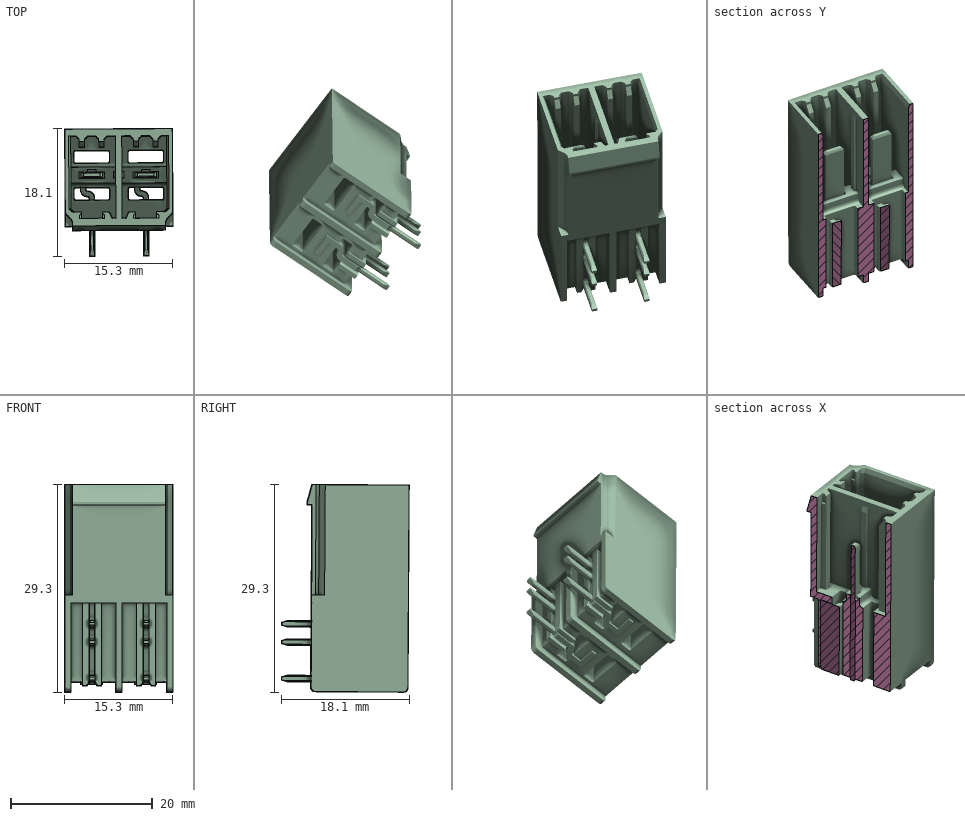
import cadquery as cq
import math


WIDTH = 15.22
DEPTH = 13.67
HEIGHT = 29.25
HALF_WIDTH = WIDTH / 2
FOOT_RADIUS = 0.65

TILT_X = -0.35
TILT_Z = 0.35

POLES = (-3.8, 3.8)
SIDE_WALL = 0.85
CENTRE_WALL_HALF = 0.45
BACK_WALL = 1.0
INNER_HALF_WIDTH = HALF_WIDTH - SIDE_WALL
CAVITY_BACK = DEPTH - BACK_WALL

FLOOR_Z = 13.67
GROOVE_FRONT = 1.05
LEDGE_Y = 1.95
GROOVE_HALF = 1.47
FLARE_HALF = 1.8
FLARE_DEPTH = 1.47
FLARE_START_Y = 1.75
FLARE_END_Y = 1.45
HOOK_FOOT = 0.95
HOOK_TOP = 1.35
CORNER_CHAMFER = 0.45
MOUTH_CHAMFER = 0.3
MOUTH_CHAMFER_HEIGHT = 0.67

TOOTH_OFFSET = 1.38
TOOTH_HALF = 0.367
TOOTH_ROOT_HALF = 0.82
TOOTH_ROOT_FLARE = TOOTH_ROOT_HALF - TOOTH_HALF
TOOTH_SHORT = 0.75
TOOTH_LONG = 1.53
TOOTH_RAMP_TOP = HEIGHT - 0.4
TOOTH_RAMP_BOTTOM = HEIGHT - 1.5

GUIDE_REACH = 0.3
GUIDE_RAMP_TOP = HEIGHT - 0.88
GUIDE_RAMP_BOTTOM = HEIGHT - 1.73

WINDOW_WIDTH = 5.0
WINDOW_DEPTH = 1.8
WINDOW_FRONT = 3.72
WINDOW_RADIUS = 0.23
BAR_FRONT = WINDOW_FRONT + WINDOW_DEPTH
BAR_BACK = 8.95
BAR_HEIGHT = 1.47
BAR_ROOT_RADIUS = 0.6

RECESS_WIDTH = 3.65
RECESS_DEPTH = 0.88
RECESS_HEIGHT = 0.6
KEY_WIDTH = 1.17
KEY_DEPTH = 0.35

LIP_HALF = 6.57
NOTCH_Y = 1.82
NOTCH_STEP = 0.2
NOTCH_STEP_Y = 0.53
LIP_REACH = 0.67
LIP_RAMP_Z = HEIGHT - 2.55
LIP_BOTTOM_Z = HEIGHT - 2.87

POCKET_TOP = 12.5
POCKET_DEPTH = 1.35
CORE_BOTTOM = 1.4
RIB_FRONT = 0.67
RIB_WIDTH = 0.95
RIB_GAP = 0.82
RIB_BOTTOM = 0.85
RIB_CHAMFER = 0.3
RIB_CHAMFER_HEIGHT = 0.65

SHEET = 0.75
SHEET_FRONT = POCKET_DEPTH
SHEET_BOTTOM = 1.05
SHEET_TOP = POCKET_TOP
BEND_RADIUS = 0.62
BEND_FRONT = 4.02
BLADE_Y = 7.22
BLADE_HALF = 1.5
BLADE_TOP = 23.45
BLADE_TAPER = 0.35
BLADE_EDGE_TAPER = 0.15
PIN_LEVELS = (1.85, 6.98, 9.55)
PIN_HEIGHT = 0.95
PIN_REACH = 4.15
PIN_CHAMFER = 0.18
PIN_TIP_LENGTH = 0.88
PIN_TIP_HEIGHT = 0.4
PIN_ROOT_RADIUS = 0.53


def block(x0, x1, y0, y1, z0, z1):
    """Box given by its limits along each axis."""
    return cq.Workplane("XY").box(x1 - x0, y1 - y0, z1 - z0, centered=False).translate((x0, y0, z0))


def prism(points, z0, z1):
    """Upright prism on an XY outline."""
    return cq.Workplane("XY").workplane(offset=z0).polyline(points).close().extrude(z1 - z0)


def side_profile(points, x0, x1):
    """Prism along X on a YZ outline."""
    return cq.Workplane("YZ").workplane(offset=x0).polyline(points).close().extrude(x1 - x0)


def mirrored(body):
    """The given body together with its image across the mid-plane."""
    return body.union(body.mirror("YZ"))


def shell():
    body = block(-HALF_WIDTH, HALF_WIDTH, 0, DEPTH, 0, HEIGHT)
    return body.edges("|X and <Z").fillet(FOOT_RADIUS)


def snap_lip():
    profile = [(0, HEIGHT), (-LIP_REACH, LIP_RAMP_Z), (-LIP_REACH, LIP_BOTTOM_Z), (0, LIP_BOTTOM_Z)]
    return side_profile(profile, -LIP_HALF, LIP_HALF)


def corner_notch():
    step_x = LIP_HALF + NOTCH_STEP
    step_y = NOTCH_Y - (HALF_WIDTH - step_x)
    outline = [
        (LIP_HALF, 0),
        (LIP_HALF, NOTCH_STEP_Y),
        (step_x, step_y),
        (HALF_WIDTH, NOTCH_Y),
        (HALF_WIDTH, 0),
    ]
    return prism(outline, FLOOR_Z, HEIGHT)


def cavity(pole):
    """Plug cavity right of the mid-plane, with its grooved front wall."""
    outline = [
        (CENTRE_WALL_HALF, GROOVE_FRONT),
        (HOOK_FOOT, GROOVE_FRONT),
        (HOOK_TOP, LEDGE_Y),
        (pole - GROOVE_HALF, LEDGE_Y),
        (pole - GROOVE_HALF, GROOVE_FRONT),
        (pole + GROOVE_HALF, GROOVE_FRONT),
        (pole + GROOVE_HALF, LEDGE_Y),
        (INNER_HALF_WIDTH - CORNER_CHAMFER, LEDGE_Y),
        (INNER_HALF_WIDTH, LEDGE_Y + CORNER_CHAMFER),
        (INNER_HALF_WIDTH, CAVITY_BACK),
        (CENTRE_WALL_HALF, CAVITY_BACK),
    ]
    return prism(outline, FLOOR_Z, HEIGHT)


def groove_flare(pole):
    outline = [
        (pole - GROOVE_HALF, FLARE_START_Y),
        (pole - FLARE_HALF, FLARE_END_Y),
        (pole - FLARE_HALF, GROOVE_FRONT),
        (pole + FLARE_HALF, GROOVE_FRONT),
        (pole + FLARE_HALF, FLARE_END_Y),
        (pole + GROOVE_HALF, FLARE_START_Y),
    ]
    return prism(outline, HEIGHT - FLARE_DEPTH, HEIGHT)


def mouth_chamfer():
    """Slope widening the cavity mouth along the side wall and its front corner."""

    def corner_outline(shift):
        side_x = INNER_HALF_WIDTH + shift
        return [
            (INNER_HALF_WIDTH - CORNER_CHAMFER, CAVITY_BACK),
            (side_x, CAVITY_BACK),
            (side_x, LEDGE_Y + CORNER_CHAMFER),
            (side_x - CORNER_CHAMFER, LEDGE_Y),
            (INNER_HALF_WIDTH - CORNER_CHAMFER - MOUTH_CHAMFER, LEDGE_Y),
        ]

    return (
        cq.Workplane("XY")
        .workplane(offset=HEIGHT - MOUTH_CHAMFER_HEIGHT)
        .polyline(corner_outline(0))
        .close()
        .workplane(offset=MOUTH_CHAMFER_HEIGHT)
        .polyline(corner_outline(MOUTH_CHAMFER))
        .close()
        .loft(ruled=True)
    )


def coding_tooth(x):
    root = prism(
        [
            (x - TOOTH_ROOT_HALF, CAVITY_BACK),
            (x - TOOTH_HALF, CAVITY_BACK - TOOTH_ROOT_FLARE),
            (x + TOOTH_HALF, CAVITY_BACK - TOOTH_ROOT_FLARE),
            (x + TOOTH_ROOT_HALF, CAVITY_BACK),
        ],
        FLOOR_Z,
        HEIGHT,
    )
    profile = [
        (CAVITY_BACK, FLOOR_Z),
        (CAVITY_BACK - TOOTH_LONG, FLOOR_Z),
        (CAVITY_BACK - TOOTH_LONG, TOOTH_RAMP_BOTTOM),
        (CAVITY_BACK - TOOTH_SHORT, TOOTH_RAMP_TOP),
        (CAVITY_BACK - TOOTH_SHORT, HEIGHT),
        (CAVITY_BACK, HEIGHT),
    ]
    return root.union(side_profile(profile, x - TOOTH_HALF, x + TOOTH_HALF))


def guide_rib():
    """Rib on the centre wall, in line with the blades."""
    tip_x = CENTRE_WALL_HALF + GUIDE_REACH
    profile = [
        (0, FLOOR_Z),
        (tip_x, FLOOR_Z),
        (tip_x, GUIDE_RAMP_BOTTOM),
        (CENTRE_WALL_HALF, GUIDE_RAMP_TOP),
        (0, GUIDE_RAMP_TOP),
    ]
    rib = cq.Workplane("XZ").polyline(profile).close().extrude(RECESS_DEPTH)
    return rib.translate((0, BLADE_Y + RECESS_DEPTH / 2, 0))


def floor_bar():
    """Raised bar between the windows, with a rounded root along both sides."""
    bar_top = FLOOR_Z + BAR_HEIGHT
    root_top = FLOOR_Z + BAR_ROOT_RADIUS
    arc_inset = BAR_ROOT_RADIUS * math.sqrt(0.5)
    front_side = BAR_FRONT + BAR_ROOT_RADIUS
    back_side = BAR_BACK - BAR_ROOT_RADIUS
    profile = (
        cq.Workplane("YZ")
        .workplane(offset=-INNER_HALF_WIDTH)
        .moveTo(BAR_FRONT, FLOOR_Z)
        .threePointArc((BAR_FRONT + arc_inset, root_top - arc_inset), (front_side, root_top))
        .lineTo(front_side, bar_top)
        .lineTo(back_side, bar_top)
        .lineTo(back_side, root_top)
        .threePointArc((BAR_BACK - arc_inset, root_top - arc_inset), (BAR_BACK, FLOOR_Z))
        .close()
    )
    return profile.extrude(2 * INNER_HALF_WIDTH)


def blade_recess(pole):
    bar_top = FLOOR_Z + BAR_HEIGHT
    recess_back = BLADE_Y + RECESS_DEPTH / 2
    half = RECESS_WIDTH / 2
    slot = block(
        pole - half, pole + half, BLADE_Y - RECESS_DEPTH / 2, recess_back, bar_top - RECESS_HEIGHT, bar_top
    )
    key = block(
        pole - KEY_WIDTH / 2,
        pole + KEY_WIDTH / 2,
        recess_back,
        recess_back + KEY_DEPTH,
        bar_top - RECESS_HEIGHT,
        bar_top,
    )
    return slot.union(key)


def window(pole, front):
    half = WINDOW_WIDTH / 2
    opening = block(pole - half, pole + half, front, front + WINDOW_DEPTH, 0, FLOOR_Z)
    return opening.edges("|Z").fillet(WINDOW_RADIUS)


def underside_pocket():
    """Space between two feet: the front pocket and the gap under the raised core."""
    front_pocket = block(CENTRE_WALL_HALF, INNER_HALF_WIDTH, 0, POCKET_DEPTH, 0, POCKET_TOP)
    foot_gap = block(CENTRE_WALL_HALF, INNER_HALF_WIDTH, 0, DEPTH, 0, CORE_BOTTOM)
    return front_pocket.union(foot_gap)


def contact_rib(pole, side):
    """One of the two ribs flanking a contact; side is -1 or +1."""
    near = RIB_GAP / 2
    far = near + RIB_WIDTH
    outline = [
        (pole + side * near, POCKET_TOP),
        (pole + side * far, POCKET_TOP),
        (pole + side * far, RIB_BOTTOM),
        (pole + side * (near + RIB_CHAMFER), RIB_BOTTOM),
        (pole + side * near, RIB_BOTTOM + RIB_CHAMFER_HEIGHT),
    ]
    rib = cq.Workplane("XZ").polyline(outline).close().extrude(RIB_FRONT - BAR_FRONT)
    return rib.translate((0, RIB_FRONT, 0))


def contact(pole):
    """Sheet contact: three board pins, an S-bend and an upright mating blade."""
    half = SHEET / 2
    offset_x = pole - 2 * BEND_RADIUS
    bend_mid = BEND_FRONT + BEND_RADIUS
    bend_back = BEND_FRONT + 2 * BEND_RADIUS
    inner = BEND_RADIUS - half
    outer = BEND_RADIUS + half
    cos45 = math.sqrt(0.5)
    front_centre = (pole - BEND_RADIUS, BEND_FRONT)
    back_centre = (pole - BEND_RADIUS, bend_back)

    def on_front_bend(radius):
        return (front_centre[0] + radius * cos45, front_centre[1] + radius * cos45)

    def on_back_bend(radius):
        return (back_centre[0] - radius * cos45, back_centre[1] - radius * cos45)

    sheet = (
        cq.Workplane("XY")
        .workplane(offset=SHEET_BOTTOM)
        .moveTo(pole + half, SHEET_FRONT)
        .lineTo(pole + half, BEND_FRONT)
        .threePointArc(on_front_bend(outer), (front_centre[0], bend_mid + half))
        .threePointArc(on_back_bend(inner), (offset_x + half, bend_back))
        .lineTo(offset_x + half, BLADE_Y - half)
        .lineTo(pole + BLADE_HALF, BLADE_Y - half)
        .lineTo(pole + BLADE_HALF, BLADE_Y + half)
        .lineTo(offset_x - half, BLADE_Y + half)
        .lineTo(offset_x - half, bend_back)
        .threePointArc(on_back_bend(outer), (back_centre[0], bend_mid - half))
        .threePointArc(on_front_bend(inner), (pole - half, BEND_FRONT))
        .lineTo(pole - half, SHEET_FRONT)
        .close()
        .extrude(SHEET_TOP - SHEET_BOTTOM)
    )
    body = sheet.union(blade(pole))
    for level in PIN_LEVELS:
        body = body.union(board_pin(pole, level))
    return body


def blade(pole):
    upright = block(
        pole - BLADE_HALF, pole + BLADE_HALF, BLADE_Y - SHEET / 2, BLADE_Y + SHEET / 2, SHEET_TOP, BLADE_TOP
    )
    upright = upright.faces(">Z").edges("|X").chamfer(BLADE_TAPER, BLADE_EDGE_TAPER)
    return upright.faces(">Z").edges("|Y").chamfer(BLADE_TAPER)


def board_pin(pole, level):
    """Pin toward -Y with chamfered long edges, a tapered tip and a rounded root."""
    half = PIN_HEIGHT / 2
    tip_half = PIN_TIP_HEIGHT / 2
    root_half = half + PIN_ROOT_RADIUS
    root_front = SHEET_FRONT - PIN_ROOT_RADIUS
    root_bottom = max(level - root_half, SHEET_BOTTOM)
    shank = block(
        pole - SHEET / 2, pole + SHEET / 2, -PIN_REACH, SHEET_FRONT, level - half, level + half
    )
    shank = shank.edges("|Y").chamfer(PIN_CHAMFER)
    taper = [
        (SHEET_FRONT, level - half),
        (PIN_TIP_LENGTH - PIN_REACH, level - half),
        (-PIN_REACH, level - tip_half),
        (-PIN_REACH, level + tip_half),
        (PIN_TIP_LENGTH - PIN_REACH, level + half),
        (SHEET_FRONT, level + half),
    ]
    shank = shank.intersect(side_profile(taper, pole - SHEET / 2, pole + SHEET / 2))
    root = block(
        pole - SHEET / 2, pole + SHEET / 2, root_front, SHEET_FRONT, root_bottom, level + root_half
    )
    for z in (level - root_half, level + root_half):
        hollow = cq.Workplane("YZ").center(root_front, z).circle(PIN_ROOT_RADIUS).extrude(SHEET, both=True)
        root = root.cut(hollow.translate((pole, 0, 0)))
    return shank.union(root)


def housing(contacts):
    pole = POLES[-1]
    body = shell().union(snap_lip())
    body = body.cut(mirrored(corner_notch()))
    body = body.cut(mirrored(cavity(pole)))
    body = body.cut(mirrored(groove_flare(pole)))
    body = body.cut(mirrored(mouth_chamfer()))
    body = body.union(mirrored(guide_rib()))
    body = body.cut(mirrored(underside_pocket()))
    body = body.union(floor_bar())
    for pole in POLES:
        for offset in (-TOOTH_OFFSET, TOOTH_OFFSET):
            body = body.union(coding_tooth(pole + offset))
        for side in (-1, 1):
            body = body.union(contact_rib(pole, side))
        body = body.cut(blade_recess(pole))
        for front in (WINDOW_FRONT, BAR_BACK):
            body = body.cut(window(pole, front))
    for part in contacts:
        body = body.cut(part)
    return body


def tilted(body):
    leaning = body.rotate((0, 0, 0), (1, 0, 0), TILT_X)
    return leaning.rotate((0, 0, 0), (0, 0, 1), TILT_Z)


contacts = [contact(pole) for pole in POLES]
header = housing(contacts)

result = cq.Compound.makeCompound([tilted(body).val() for body in (header, *contacts)])